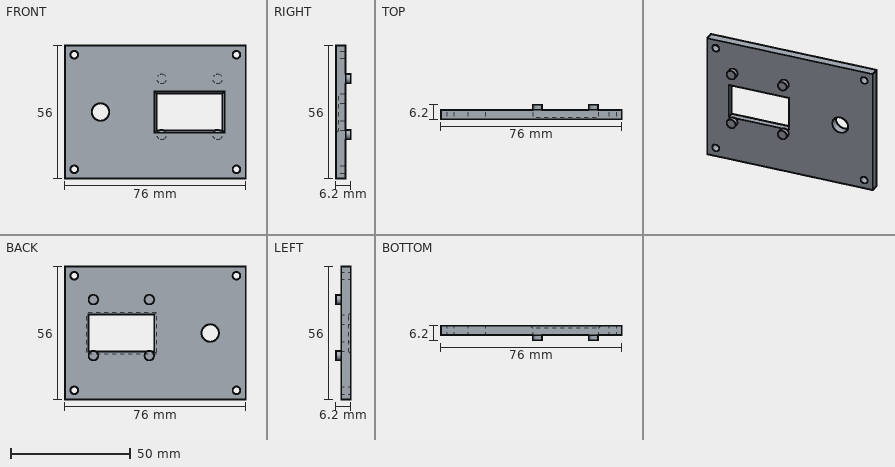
import cadquery as cq

panel_width = 76.0
panel_height = 56.0
total_depth = 6.2
panel_thickness = 4.0
peg_length = total_depth - panel_thickness

corner_hole_diameter = 3.1
corner_hole_inset = 3.95

round_opening_diameter = 7.2
round_opening_x = -23.0

window_width = 27.5
window_height = 15.35
window_x = 14.3
window_bevel = 1.0

peg_diameter = 4.0
peg_spacing = 23.5
peg_pattern_z = 2.3


def face_plane(y):
    """Plane parallel to the panel, with local axes X and Z and its normal along -Y."""
    return cq.Workplane("XZ", origin=(0, y, 0))


def make_panel():
    return face_plane(0).rect(panel_width, panel_height).extrude(-panel_thickness)


def make_corner_holes():
    hole_spacing_x = panel_width - 2 * corner_hole_inset
    hole_spacing_z = panel_height - 2 * corner_hole_inset
    return (
        face_plane(0)
        .rect(hole_spacing_x, hole_spacing_z, forConstruction=True)
        .vertices()
        .circle(corner_hole_diameter / 2)
        .extrude(-panel_thickness)
    )


def make_round_opening():
    return (
        face_plane(0)
        .center(round_opening_x, 0)
        .circle(round_opening_diameter / 2)
        .extrude(-panel_thickness)
    )


def make_window():
    through_cut = (
        face_plane(0)
        .center(window_x, 0)
        .rect(window_width, window_height)
        .extrude(-panel_thickness)
    )
    bevel_cut = (
        face_plane(0)
        .center(window_x, 0)
        .rect(window_width + 2 * window_bevel, window_height + 2 * window_bevel)
        .workplane(offset=-window_bevel)
        .rect(window_width, window_height)
        .loft(ruled=True)
    )
    return through_cut.union(bevel_cut)


def make_pegs():
    return (
        face_plane(panel_thickness)
        .center(window_x, peg_pattern_z)
        .rect(peg_spacing, peg_spacing, forConstruction=True)
        .vertices()
        .circle(peg_diameter / 2)
        .extrude(-peg_length)
    )


result = (
    make_panel()
    .cut(make_corner_holes())
    .cut(make_round_opening())
    .cut(make_window())
    .union(make_pegs())
)